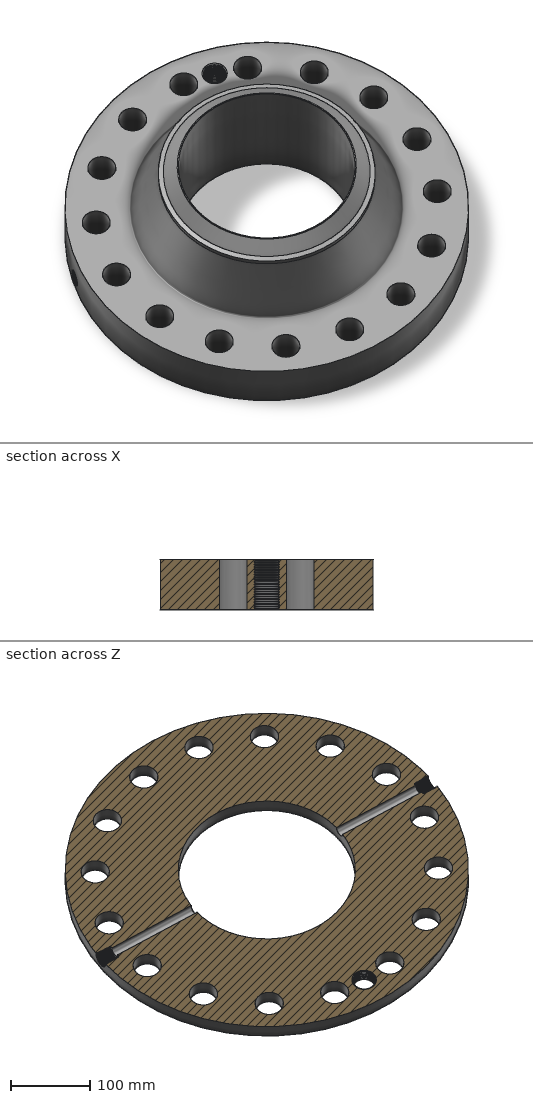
import math

import cadquery as cq

FLANGE_DIAMETER = 508.0
FLANGE_THICKNESS = 63.5
OVERALL_HEIGHT = 152.4

HUB_BASE_DIAMETER = 343.0
HUB_FILLET_RADIUS = 3.0
NECK_DIAMETER = 273.05
NECK_START_HEIGHT = 132.0
NECK_WALL = 25.4
BORE_DIAMETER = NECK_DIAMETER - 2 * NECK_WALL

ROOT_FACE_WIDTH = 1.6
INNER_BEVEL_END = 19.0
INNER_BEVEL_ANGLE = 37.5
OUTER_BEVEL_ANGLE = 10.0

BOLT_COUNT = 16
BOLT_HOLE_DIAMETER = 35.0
BOLT_CIRCLE_DIAMETER = 431.8

JACK_MAJOR_DIAMETER = 31.75
JACK_THREAD_PITCH = 3.175

TAP_HEIGHT = 17.5
TAP_BORE_DIAMETER = 12.7
TAP_MOUTH_DIAMETER = 21.3
TAP_THREAD_PITCH = 1.814
TAP_THREAD_TURNS = 12
TAP_TAPER = 1 / 16

THREAD_DEPTH_RATIO = 0.5413


def make_body():
    """Revolve the flange, hub, neck and bevel about Z, with the bore open."""
    bore_radius = BORE_DIAMETER / 2
    flange_radius = FLANGE_DIAMETER / 2
    neck_radius = NECK_DIAMETER / 2
    root_radius = bore_radius + ROOT_FACE_WIDTH
    bevel_radius = bore_radius + INNER_BEVEL_END
    inner_drop = (bevel_radius - root_radius) * math.tan(math.radians(INNER_BEVEL_ANGLE))
    outer_drop = (neck_radius - bevel_radius) * math.tan(math.radians(OUTER_BEVEL_ANGLE))
    bevel_height = OVERALL_HEIGHT - inner_drop
    neck_top = bevel_height - outer_drop

    hub_radius = HUB_BASE_DIAMETER / 2
    hub_slope = math.atan2(NECK_START_HEIGHT - FLANGE_THICKNESS, hub_radius - neck_radius)
    tangent_length = HUB_FILLET_RADIUS * math.tan(hub_slope / 2)
    fillet_outer = (hub_radius + tangent_length, FLANGE_THICKNESS)
    fillet_inner = (
        hub_radius - tangent_length * math.cos(hub_slope),
        FLANGE_THICKNESS + tangent_length * math.sin(hub_slope),
    )

    profile = (
        cq.Workplane("XZ")
        .moveTo(bore_radius, 0)
        .lineTo(flange_radius, 0)
        .lineTo(flange_radius, FLANGE_THICKNESS)
        .lineTo(*fillet_outer)
        .radiusArc(fillet_inner, HUB_FILLET_RADIUS)
        .lineTo(neck_radius, NECK_START_HEIGHT)
        .lineTo(neck_radius, neck_top)
        .lineTo(bevel_radius, bevel_height)
        .lineTo(root_radius, OVERALL_HEIGHT)
        .lineTo(bore_radius, OVERALL_HEIGHT)
        .close()
    )
    return profile.revolve(360, (0, 0, 0), (0, 1, 0))


def make_bolt_holes():
    """Equally spaced through holes, none of them on an axis."""
    half_step = 180 / BOLT_COUNT
    return (
        cq.Workplane("XY")
        .polarArray(BOLT_CIRCLE_DIAMETER / 2, half_step, 360, BOLT_COUNT)
        .circle(BOLT_HOLE_DIAMETER / 2)
        .extrude(FLANGE_THICKNESS)
    )


def make_thread_cutter(mouth_diameter, pitch, turns, taper=0.0):
    """Cutter rising from its mouth at the origin, widest there, with one V ridge per pitch.

    The taper is the loss of diameter per unit of length.
    """
    depth = THREAD_DEPTH_RATIO * pitch

    def major_radius(height):
        return (mouth_diameter - taper * height) / 2

    outline = cq.Workplane("XZ").lineTo(major_radius(0), 0)
    for turn in range(turns):
        crest_height = (turn + 0.5) * pitch
        root_height = (turn + 1) * pitch
        outline = outline.lineTo(major_radius(crest_height) - depth, crest_height)
        outline = outline.lineTo(major_radius(root_height), root_height)
    outline = outline.lineTo(0, turns * pitch).close()
    return outline.revolve(360, (0, 0, 0), (0, 1, 0))


def make_jack_screw_hole():
    """Threaded hole through the flange on the bolt circle."""
    turns = round(FLANGE_THICKNESS / JACK_THREAD_PITCH)
    cutter = make_thread_cutter(JACK_MAJOR_DIAMETER, JACK_THREAD_PITCH, turns)
    return cutter.translate((-BOLT_CIRCLE_DIAMETER / 2, 0, 0))


def make_pressure_taps():
    """Plain bore right across the flange along Y, threaded at both mouths."""
    flange_radius = FLANGE_DIAMETER / 2
    taps = (
        cq.Workplane("XZ", origin=(0, 0, TAP_HEIGHT))
        .circle(TAP_BORE_DIAMETER / 2)
        .extrude(flange_radius, both=True)
    )
    thread = make_thread_cutter(TAP_MOUTH_DIAMETER, TAP_THREAD_PITCH, TAP_THREAD_TURNS, TAP_TAPER)
    for side in (-1, 1):
        mouth = thread.rotate((0, 0, 0), (1, 0, 0), side * 90)
        taps = taps.union(mouth.translate((0, side * flange_radius, TAP_HEIGHT)))
    return taps


result = (
    make_body()
    .cut(make_bolt_holes())
    .cut(make_jack_screw_hole())
    .cut(make_pressure_taps())
)